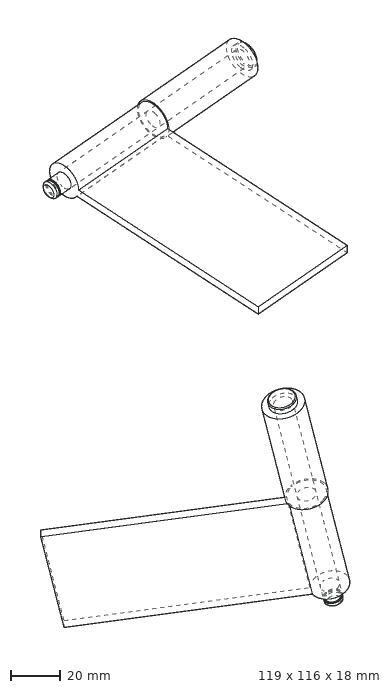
import cadquery as cq

TOTAL_LENGTH_X = 119.0
SLEEVE_DIAMETER = 18.0
SLEEVE_LENGTH = 52.0
LEAF_KNUCKLE_DIAMETER = 16.5
LEAF_WIDTH = SLEEVE_LENGTH
LEAF_THICKNESS = 4.0
LEAF_TOP_Z = 0.0
LEAF_END_X = TOTAL_LENGTH_X - SLEEVE_DIAMETER / 2

PIN_DIAMETER = 8.0
PIN_TIP_LENGTH = 9.0
PIN_HEAD_DIAMETER = 12.0
PIN_HEAD_LENGTH = 3.0
PIN_HEAD_CHAMFER = 0.5
PIN_TIP_CHAMFER = 1.0
GROOVE_WIDTH = 0.5
GROOVE_DEPTH = 0.4
GROOVE_OFFSET = 6.2


def cylinder_along_y(diameter, start_y, length):
    """Solid cylinder on the hinge axis, from start_y towards +Y."""
    return cq.Workplane("XZ", origin=(0, start_y, 0)).circle(diameter / 2).extrude(-length)


def make_sleeve():
    """Plain knuckle on the +Y half, bored for the pin."""
    bore = cylinder_along_y(PIN_DIAMETER, 0, SLEEVE_LENGTH)
    return cylinder_along_y(SLEEVE_DIAMETER, 0, SLEEVE_LENGTH).cut(bore)


def make_leaf():
    """Flat leaf with its own knuckle on the -Y half, bored for the pin."""
    knuckle = cylinder_along_y(LEAF_KNUCKLE_DIAMETER, -LEAF_WIDTH, LEAF_WIDTH)
    plate = cq.Workplane("XY", origin=(0, -LEAF_WIDTH, LEAF_TOP_Z - LEAF_THICKNESS)).box(
        LEAF_END_X, LEAF_WIDTH, LEAF_THICKNESS, centered=False
    )
    bore = cylinder_along_y(PIN_DIAMETER, -LEAF_WIDTH, LEAF_WIDTH)
    return knuckle.union(plate).cut(bore)


def make_pin():
    """Headed pin through both knuckles, with a narrow groove near its chamfered tip."""
    shank_start = -LEAF_WIDTH - PIN_TIP_LENGTH
    shank = cylinder_along_y(PIN_DIAMETER, shank_start, SLEEVE_LENGTH - shank_start)
    shank = shank.faces("<Y").chamfer(PIN_TIP_CHAMFER)

    groove_start = -LEAF_WIDTH - GROOVE_OFFSET - GROOVE_WIDTH
    groove_floor = cylinder_along_y(PIN_DIAMETER - 2 * GROOVE_DEPTH, groove_start, GROOVE_WIDTH)
    groove = cylinder_along_y(PIN_DIAMETER, groove_start, GROOVE_WIDTH).cut(groove_floor)

    head = cylinder_along_y(PIN_HEAD_DIAMETER, SLEEVE_LENGTH, PIN_HEAD_LENGTH)
    head = head.faces(">Y").chamfer(PIN_HEAD_CHAMFER)
    return shank.cut(groove).union(head)


sleeve = make_sleeve()
leaf = make_leaf()
pin = make_pin()

result = cq.Compound.makeCompound([sleeve.val(), leaf.val(), pin.val()])